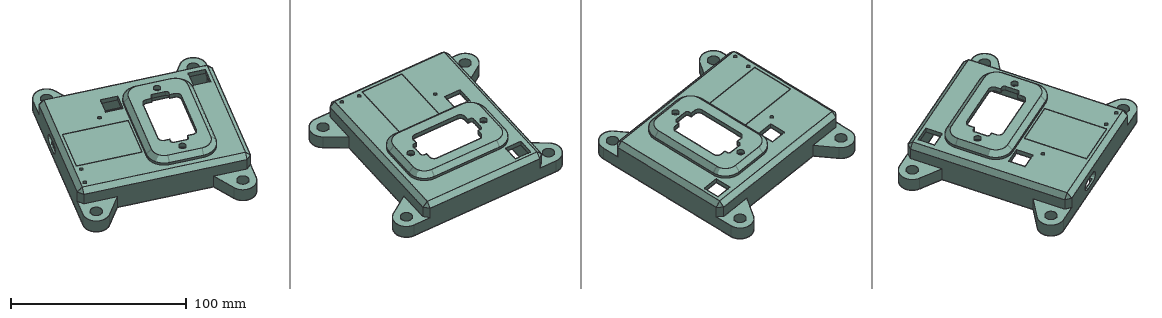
import cadquery as cq
import math

LENGTH = 112.4
DEPTH = 103.3
HEIGHT = 23.8

BODY_WIDTH = 80.5
BODY_HEIGHT = 19.1
BEVEL = 3.0
WALL = 3.0

LUG_RADIUS = 8.0
LUG_HEIGHT = 8.7
LUG_HOLE_DIAMETER = 7.0
LUG_ROOT_Y = 28.7
LUG_X = LENGTH / 2 - LUG_RADIUS
LUG_Y = DEPTH / 2 - LUG_RADIUS

BOSS_WIDTH = 65.3
BOSS_DEPTH = 41.5
BOSS_RADIUS = 10.6
BOSS_CENTER = (1.6, 14.4)

OPENING_SIZE = (34.8, 22.9)
OPENING_RADIUS = 3.0
EARS_SIZE = (41.0, 10.6)
EARS_RADIUS = 1.5
SCREW_DIAMETER = 4.2
SCREW_SPACING = 49.3

WINDOW_SIDE = 10.3
WINDOW_CENTERS = [(-29.0, 41.5), (-22.8, -12.7)]

PINHOLE_DIAMETER = 2.0
PINHOLE_CENTERS = [(-14.3, -22.6), (22.9, -44.8), (33.8, -46.1)]

LABEL_SIZE = (27.0, 39.1)
LABEL_CENTER = (6.2, -27.2)
LABEL_RECESS = 0.2

SLOT_LENGTH = 13.5
SLOT_HEIGHT = 7.0
SLOT_X = -12.5
SLOT_Z = 7.9

NOTCH_WIDTH = 9.9
NOTCH_WALL = 1.3


def rounded_block(size, radius, center, bottom, top):
    """Upright block with rounded vertical edges."""
    block = cq.Workplane("XY", origin=(*center, bottom)).rect(*size).extrude(top - bottom)
    return block.edges("|Z").fillet(radius)


def make_body():
    block = cq.Workplane("XY").box(BODY_WIDTH, DEPTH, BODY_HEIGHT, centered=(True, True, False))
    return block.edges("|Z or >Z").chamfer(BEVEL)


def make_lug():
    """Lug at the +X +Y corner, tapering from the body to a round end."""
    root_x = BODY_WIDTH / 2
    inner_x = root_x - BEVEL
    run = LUG_X - root_x
    rise = LUG_Y - LUG_ROOT_Y
    slope = math.atan2(rise, run) - math.asin(LUG_RADIUS / math.hypot(run, rise))
    tangent = (LUG_X + LUG_RADIUS * math.sin(slope), LUG_Y - LUG_RADIUS * math.cos(slope))
    return (
        cq.Workplane("XY")
        .moveTo(inner_x, DEPTH / 2)
        .lineTo(LUG_X, DEPTH / 2)
        .threePointArc((LUG_X + LUG_RADIUS, LUG_Y), tangent)
        .lineTo(root_x, LUG_ROOT_Y)
        .lineTo(inner_x, LUG_ROOT_Y)
        .close()
        .extrude(LUG_HEIGHT)
    )


def make_boss():
    boss = rounded_block((BOSS_WIDTH, BOSS_DEPTH), BOSS_RADIUS, BOSS_CENTER, BODY_HEIGHT - WALL, HEIGHT)
    return boss.faces(">Z").chamfer(BEVEL)


def make_cavity():
    """Inner space that leaves an even wall under the body and the boss."""
    main = cq.Workplane("XY").box(
        BODY_WIDTH - 2 * WALL, DEPTH - 2 * WALL, BODY_HEIGHT - WALL, centered=(True, True, False)
    )
    boss_size = (BOSS_WIDTH - 2 * WALL, BOSS_DEPTH - 2 * WALL)
    under_boss = rounded_block(boss_size, BOSS_RADIUS - WALL, BOSS_CENTER, 0, HEIGHT - WALL)
    return main.union(under_boss)


def make_connector_opening():
    opening = rounded_block(OPENING_SIZE, OPENING_RADIUS, BOSS_CENTER, 0, HEIGHT)
    ears = rounded_block(EARS_SIZE, EARS_RADIUS, BOSS_CENTER, 0, HEIGHT)
    screws = (
        cq.Workplane("XY", origin=(*BOSS_CENTER, 0))
        .rarray(SCREW_SPACING, 1.1, 2, 1)
        .circle(SCREW_DIAMETER / 2)
        .extrude(HEIGHT)
    )
    return opening.union(ears).union(screws)


def make_top_cuts():
    windows = cq.Workplane("XY").pushPoints(WINDOW_CENTERS).rect(WINDOW_SIDE, WINDOW_SIDE).extrude(HEIGHT)
    pinholes = cq.Workplane("XY").pushPoints(PINHOLE_CENTERS).circle(PINHOLE_DIAMETER / 2).extrude(HEIGHT)
    label = (
        cq.Workplane("XY", origin=(*LABEL_CENTER, BODY_HEIGHT - LABEL_RECESS))
        .rect(*LABEL_SIZE)
        .extrude(LABEL_RECESS)
    )
    return windows.union(pinholes).union(label)


def make_cable_slot():
    """Rounded slot, plus the notch behind it that rises from the floor to the top of the slot."""
    slot = (
        cq.Workplane("XZ", origin=(SLOT_X, -DEPTH / 2, SLOT_Z))
        .slot2D(SLOT_LENGTH, SLOT_HEIGHT)
        .extrude(-WALL)
    )
    notch = cq.Workplane("XY", origin=(SLOT_X, -DEPTH / 2 + NOTCH_WALL, 0)).box(
        NOTCH_WIDTH, WALL - NOTCH_WALL, SLOT_Z + SLOT_HEIGHT / 2, centered=(True, False, False)
    )
    return slot.union(notch)


def make_lug_holes():
    return (
        cq.Workplane("XY")
        .rarray(2 * LUG_X, 2 * LUG_Y, 2, 2)
        .circle(LUG_HOLE_DIAMETER / 2)
        .extrude(LUG_HEIGHT)
    )


lug = make_lug()
lug_pair = lug.union(lug.mirror("YZ"))

result = make_body().union(make_boss()).union(lug_pair).union(lug_pair.mirror("XZ"))
for cut in (make_cavity(), make_connector_opening(), make_top_cuts(), make_cable_slot(), make_lug_holes()):
    result = result.cut(cut)